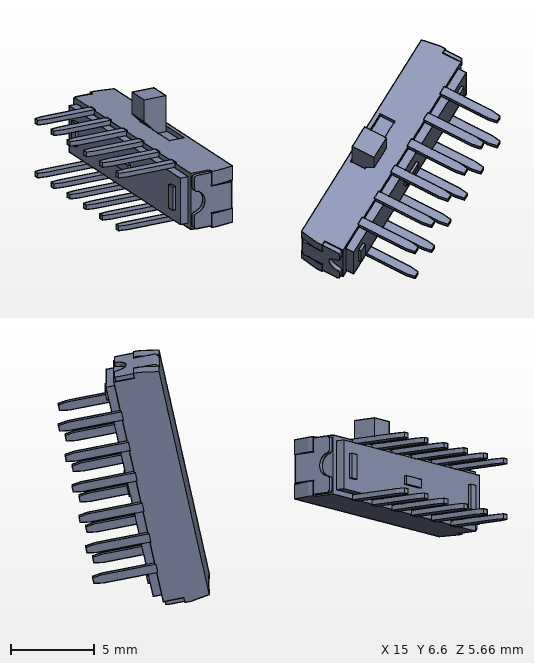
import cadquery as cq


LENGTH = 15.0
HEIGHT = 3.6
COVER_DEPTH = 2.79
PLATE_STEP = 0.05
PLATE_THICKNESS = 0.27
PLATE_HALF = LENGTH / 2 - PLATE_STEP
CORE_HALF = PLATE_HALF - PLATE_THICKNESS

TAB_DEPTH = 1.53
TAB_HEIGHT = 0.9
TAB_SLOPE_DEPTH = 1.17
TAB_SLOPE_INSET = 0.2
TAB_GAP = 0.05

PLATE_DEPTH = 2.7
PLATE_HEIGHT = 3.42
PLATE_BEND_RADIUS = 0.32
PLATE_CORNER_RADIUS = 0.18
NOTCH_RADIUS = 0.72

BASE_LENGTH = 13.71
BASE_HEIGHT = 2.97
BASE_DEPTH = 3.33
PAD_DEPTH = 3.51
PAD_LONG = 1.5
PAD_SHORT = 0.51
END_PAD_X = 6.0

PIN_COLUMNS = 6
PIN_PITCH = 2.0
PIN_WIDTH = 0.54
PIN_TIP_WIDTH = 0.36
PIN_THICKNESS = 0.3
PIN_PROTRUSION = 0.05
PIN_START_DEPTH = 2.72
PIN_TAPER_DEPTH = 6.03
PIN_END_DEPTH = 6.6

SLIDER_LENGTH = 1.5
SLIDER_X = -1.0
SLIDER_BACK_DEPTH = 0.36
SLIDER_FRONT_DEPTH = 1.86
SLIDER_STEM_FRONT_DEPTH = 1.25
SLIDER_RISE = 2.01
SLIDER_SLOPE_RISE = SLIDER_FRONT_DEPTH - SLIDER_STEM_FRONT_DEPTH
WINDOW_LENGTH = 3.63
WINDOW_BACK_DEPTH = 0.27
WINDOW_FRONT_DEPTH = 1.28
WINDOW_RECESS = 0.3


def block(x_size, z_size, back_depth, front_depth, x=0.0, z=0.0):
    """Box centred on (x, z) that runs between two depths."""
    middle_depth = (back_depth + front_depth) / 2
    return cq.Workplane("XY").box(x_size, front_depth - back_depth, z_size).translate((x, -middle_depth, z))


def make_core():
    """Cover between the two end plates."""
    return block(2 * CORE_HALF, HEIGHT, 0, COVER_DEPTH)


def make_tab_layer():
    """Upper pair of end tabs, joined across the full length, tapering towards the back."""
    half = LENGTH / 2
    back_half = half - TAB_SLOPE_INSET
    outline = [
        (-back_half, 0),
        (back_half, 0),
        (half, -TAB_SLOPE_DEPTH),
        (half, -TAB_DEPTH),
        (-half, -TAB_DEPTH),
        (-half, -TAB_SLOPE_DEPTH),
    ]
    bottom = HEIGHT / 2 - TAB_HEIGHT
    return cq.Workplane("XY").workplane(offset=bottom).polyline(outline).close().extrude(TAB_HEIGHT)


def make_end_plates():
    """Both end plates as one slab: narrow between the tabs, wide and round-notched in front of them."""
    tongue_height = HEIGHT - 2 * (TAB_HEIGHT + TAB_GAP)
    tongue = block(2 * PLATE_HALF, tongue_height, 0, TAB_DEPTH)
    tongue = tongue.edges("|Z and >Y").fillet(PLATE_BEND_RADIUS)
    front = block(2 * PLATE_HALF, PLATE_HEIGHT, TAB_DEPTH, PLATE_DEPTH)
    notch = cq.Workplane("YZ").center(-PLATE_DEPTH, 0).circle(NOTCH_RADIUS).extrude(PLATE_HALF, both=True)
    front = front.cut(notch).edges("|X and <Y").fillet(PLATE_CORNER_RADIUS)
    return tongue.union(front)


def make_base():
    """Base block in front of the cover, with one middle pad and two upright end pads."""
    base = block(BASE_LENGTH, BASE_HEIGHT, COVER_DEPTH, BASE_DEPTH)
    base = base.union(block(PAD_LONG, PAD_SHORT, BASE_DEPTH, PAD_DEPTH))
    for x in (-END_PAD_X, END_PAD_X):
        base = base.union(block(PAD_SHORT, PAD_LONG, BASE_DEPTH, PAD_DEPTH, x=x))
    return base


def make_pin():
    """One flat terminal with a tapered tip, lying on Z = 0 and centred on X = 0."""
    half = PIN_WIDTH / 2
    tip_half = PIN_TIP_WIDTH / 2
    outline = [
        (-half, -PIN_START_DEPTH),
        (half, -PIN_START_DEPTH),
        (half, -PIN_TAPER_DEPTH),
        (tip_half, -PIN_END_DEPTH),
        (-tip_half, -PIN_END_DEPTH),
        (-half, -PIN_TAPER_DEPTH),
    ]
    return cq.Workplane("XY").polyline(outline).close().extrude(PIN_THICKNESS)


def make_slider():
    """Slider knob overhanging its stem on a 45 degree slope; the stem stands on the window floor."""
    floor = HEIGHT / 2 - WINDOW_RECESS
    top = HEIGHT / 2 + SLIDER_RISE
    profile = [
        (-SLIDER_BACK_DEPTH, floor),
        (-SLIDER_BACK_DEPTH, top),
        (-SLIDER_FRONT_DEPTH, top),
        (-SLIDER_FRONT_DEPTH, HEIGHT / 2 + SLIDER_SLOPE_RISE),
        (-SLIDER_STEM_FRONT_DEPTH, HEIGHT / 2),
        (-SLIDER_STEM_FRONT_DEPTH, floor),
    ]
    slider = cq.Workplane("YZ").polyline(profile).close().extrude(SLIDER_LENGTH / 2, both=True)
    return slider.translate((SLIDER_X, 0, 0))


upper_tabs = make_tab_layer()
result = make_core().union(upper_tabs).union(upper_tabs.mirror("XY")).union(make_end_plates())

result = result.union(make_base())

pin = make_pin()
pin_bottom = HEIGHT / 2 + PIN_PROTRUSION - PIN_THICKNESS
for column in range(PIN_COLUMNS):
    pin_x = (column - (PIN_COLUMNS - 1) / 2) * PIN_PITCH
    upper_pin = pin.translate((pin_x, 0, pin_bottom))
    result = result.union(upper_pin).union(upper_pin.mirror("XY"))

window_z = (HEIGHT - WINDOW_RECESS) / 2
result = result.cut(block(WINDOW_LENGTH, WINDOW_RECESS, WINDOW_BACK_DEPTH, WINDOW_FRONT_DEPTH, z=window_z))
result = result.union(make_slider())